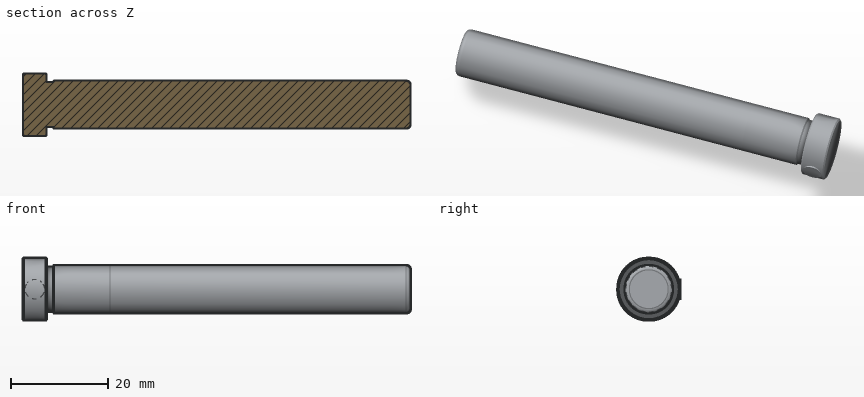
import cadquery as cq

overall_length = 80.0

head_diameter = 13.0
head_length = 5.0
head_chamfer = 0.3

groove_diameter = 9.4
groove_end = 6.5
groove_taper_length = 0.25

shank_diameter = 10.0
fitting_zone_end = 18.0
tip_radius = 1.0

pad_diameter = 4.0
pad_root_depth = 1.0


def make_pin():
    """Headed pin turned about the X axis, with the head face at X = 0."""
    head_radius = head_diameter / 2
    groove_radius = groove_diameter / 2
    shank_radius = shank_diameter / 2
    profile = (
        cq.Workplane("XZ")
        .moveTo(0, 0)
        .lineTo(0, head_radius - head_chamfer)
        .lineTo(head_chamfer, head_radius)
        .lineTo(head_length - head_chamfer, head_radius)
        .lineTo(head_length, head_radius - head_chamfer)
        .lineTo(head_length, groove_radius)
        .lineTo(groove_end - groove_taper_length, groove_radius)
        .lineTo(groove_end, shank_radius)
        .lineTo(fitting_zone_end, shank_radius)
        .lineTo(overall_length - tip_radius, shank_radius)
        .radiusArc((overall_length, shank_radius - tip_radius), tip_radius)
        .lineTo(overall_length, 0)
        .close()
    )
    return profile.revolve(360, (0, 0, 0), (1, 0, 0), clean=False)


def make_pad():
    """Round pad rooted inside the head, its flat top tangent to the head at +Y."""
    return (
        cq.Workplane("XZ", origin=(head_length / 2, head_diameter / 2, 0))
        .circle(pad_diameter / 2)
        .extrude(pad_root_depth)
    )


result = make_pin().union(make_pad(), clean=False)